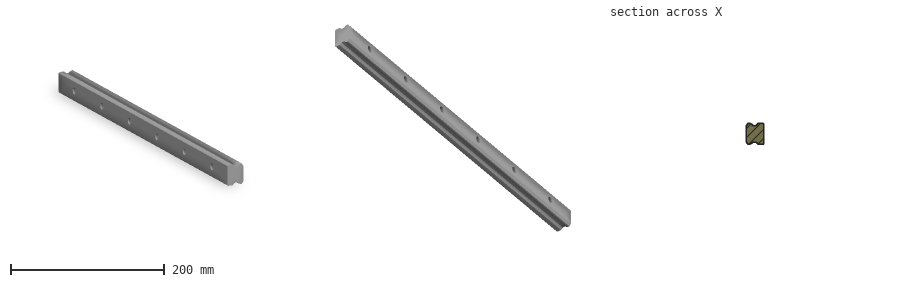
import cadquery as cq

length = 490.0
height = 23.0
width = 28.0
half_width = width / 2

base_chamfer = 1.22
shoulder_height = 7.5
waist_start = 10.5
waist_depth = 3.0
waist_end = 14.0
flank_height = 15.5
flank_depth = 1.5
head_start = 18.5
head_end = 20.5
head_chamfer_depth = 3.5

hole_count = 6
hole_pitch = 80.0
hole_diameter = 9.0


def make_rail():
    """Extrude the symmetric rail section along X, with its base on Y = 0."""
    side = [
        (0, half_width - base_chamfer),
        (base_chamfer, half_width),
        (shoulder_height, half_width),
        (waist_start, half_width - waist_depth),
        (waist_end, half_width - waist_depth),
        (flank_height, half_width - flank_depth),
        (head_start, half_width),
        (head_end, half_width),
        (height, half_width - head_chamfer_depth),
    ]
    opposite_side = [(y, -z) for y, z in reversed(side)]
    section = cq.Workplane("YZ").polyline(side + opposite_side).close()
    return section.extrude(length / 2, both=True)


def make_holes():
    """Row of plain holes through the full rail height, centred on its length."""
    first_hole = -hole_pitch * (hole_count - 1) / 2
    centres = [(first_hole + i * hole_pitch, 0) for i in range(hole_count)]
    return cq.Workplane("XZ").pushPoints(centres).circle(hole_diameter / 2).extrude(-height)


result = make_rail().cut(make_holes())